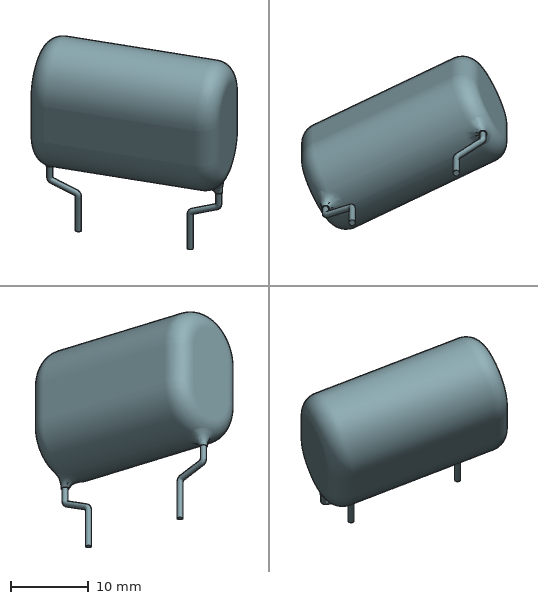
import cadquery as cq
import math

BODY_LENGTH = 25.3
BODY_WIDTH = 12.4
BODY_BOTTOM = 10.0
BODY_TOP = 27.7
BODY_HEIGHT = BODY_TOP - BODY_BOTTOM
END_ROUNDING = 2.52

LEAD_DIAMETER = 0.8
LEAD_RADIUS = LEAD_DIAMETER / 2
LEAD_EXIT_X = 11.38
LEAD_FOOT_X = 7.53
UPPER_KNEE_Z = 6.95
LOWER_KNEE_Z = 5.45
BEND_RADIUS = 0.55

COLLAR_BOTTOM = 9.05
COLLAR_RADIUS = 0.5
COLLAR_ROOT_Z = BODY_BOTTOM + END_ROUNDING / 2
COLLAR_ROOT_HALF_X = 1.2
COLLAR_ROOT_HALF_Y = 1.45
COLLAR_ROOT_X = LEAD_EXIT_X - COLLAR_ROOT_HALF_X + COLLAR_RADIUS
COLLAR_BLEND = 2.22

SIDES = (-1, 1)


def make_lead(side):
    """One round wire, from the collar mouth down through two bends to its foot."""
    slope = math.atan2(UPPER_KNEE_Z - LOWER_KNEE_Z, LEAD_EXIT_X - LEAD_FOOT_X)
    turn = math.pi / 2 - slope
    setback = BEND_RADIUS * math.tan(turn / 2)
    mid_offset = BEND_RADIUS / math.cos(turn / 2) - BEND_RADIUS
    mid_x = mid_offset * math.cos(turn / 2)
    mid_z = mid_offset * math.sin(turn / 2)
    run_x = setback * math.cos(slope)
    run_z = setback * math.sin(slope)

    path = (
        cq.Workplane("XZ")
        .moveTo(side * LEAD_EXIT_X, COLLAR_BOTTOM)
        .lineTo(side * LEAD_EXIT_X, UPPER_KNEE_Z + setback)
        .threePointArc(
            (side * (LEAD_EXIT_X - mid_x), UPPER_KNEE_Z + mid_z),
            (side * (LEAD_EXIT_X - run_x), UPPER_KNEE_Z - run_z),
        )
        .lineTo(side * (LEAD_FOOT_X + run_x), LOWER_KNEE_Z + run_z)
        .threePointArc(
            (side * (LEAD_FOOT_X + mid_x), LOWER_KNEE_Z - mid_z),
            (side * LEAD_FOOT_X, LOWER_KNEE_Z - setback),
        )
        .lineTo(side * LEAD_FOOT_X, 0)
    )
    return (
        cq.Workplane("XY", origin=(side * LEAD_EXIT_X, 0, COLLAR_BOTTOM))
        .circle(LEAD_RADIUS)
        .sweep(path)
    )


def make_collar(side):
    """Flared stub, a circle at its mouth and a wider ellipse where it enters the body."""
    return (
        cq.Workplane("XY", origin=(side * LEAD_EXIT_X, 0, COLLAR_BOTTOM))
        .circle(COLLAR_RADIUS)
        .workplane(offset=COLLAR_ROOT_Z - COLLAR_BOTTOM)
        .center(side * (COLLAR_ROOT_X - LEAD_EXIT_X), 0)
        .ellipse(COLLAR_ROOT_HALF_X, COLLAR_ROOT_HALF_Y)
        .loft(ruled=True)
    )


def make_body():
    """Rounded body with a collar blended into its underside at each lead."""
    body = (
        cq.Workplane("YZ", origin=(-BODY_LENGTH / 2, 0, BODY_BOTTOM + BODY_HEIGHT / 2))
        .slot2D(BODY_HEIGHT, BODY_WIDTH, 90)
        .extrude(BODY_LENGTH)
        .faces("<X or >X")
        .edges()
        .fillet(END_ROUNDING)
    )
    for side in SIDES:
        body = body.union(make_collar(side))

    for side in SIDES:
        near_x = side * (COLLAR_ROOT_X - COLLAR_ROOT_HALF_X)
        far_x = side * (COLLAR_ROOT_X + COLLAR_ROOT_HALF_X)
        seam = cq.selectors.BoxSelector(
            (near_x, -COLLAR_ROOT_HALF_Y, BODY_BOTTOM),
            (far_x, COLLAR_ROOT_HALF_Y, COLLAR_ROOT_Z),
        )
        body = body.edges(seam).fillet(COLLAR_BLEND)
    return body


body = make_body()
leads = [make_lead(side) for side in SIDES]
result = cq.Compound.makeCompound([body.val(), *[lead.val() for lead in leads]])